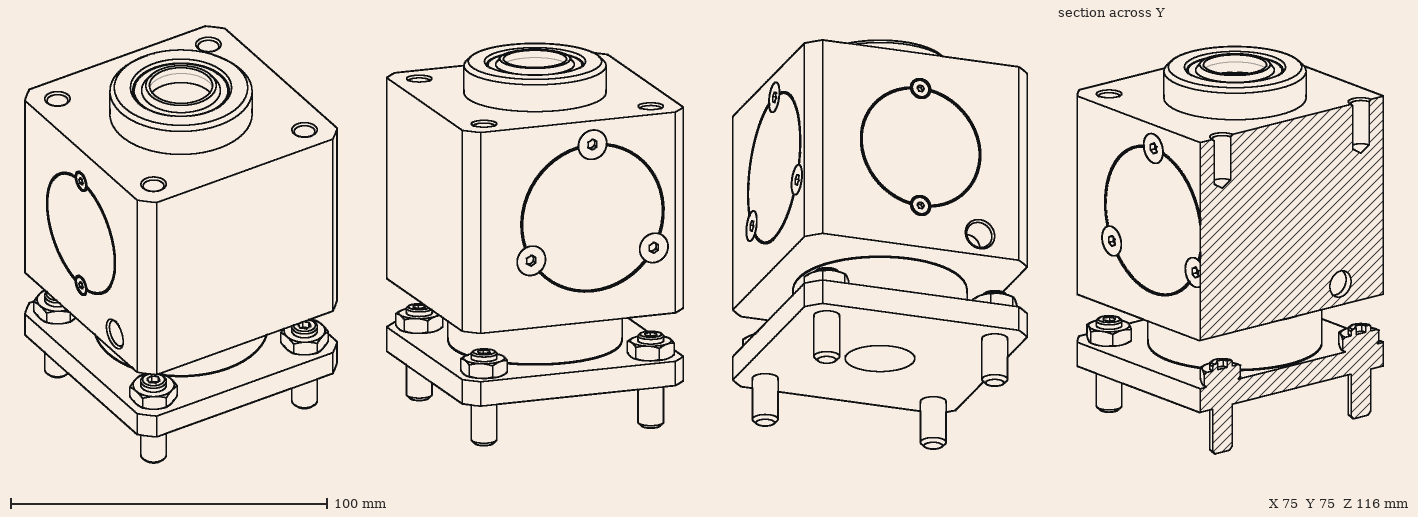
import cadquery as cq
import math

side = 75.0
half_side = side / 2
corner_turn_diameter = 100.0
height = 116.0
plate_bottom = 15.1
plate_thickness = 8.0
plate_top = plate_bottom + plate_thickness
body_bottom = 39.0
body_top = 105.0

collar_diameter = 55.1
collar_relief_diameter = 54.6
collar_relief_height = 0.3

boss_diameter = 45.0
boss_top = 115.2
boss_chamfer = 1.4
seat_diameter = 29.8
seat_mouth_diameter = 32.0
seat_floor = 114.1
seat_gap = 0.3
seat_gap_depth = 0.7

nose_base_diameter = 24.9
nose_top_diameter = 22.3
mouth_diameter = 20.0
throat_diameter = 20.9
throat_start = 2.4
throat_end = 6.0
bore_diameter = 22.0

stud_offset = 28.3
stud_diameter = 8.1
stud_top = plate_top + 7.0
stud_bottom_chamfer = 1.2
stud_top_chamfer = 0.6
stud_socket_flats = 3.6
stud_socket_depth = 4.1
stud_socket_turn = 45
nut_flats = 13.0
nut_corners = nut_flats / math.cos(math.pi / 6)
nut_height = 4.9
nut_chamfer_drop = 0.6
top_hole_diameter = 6.6
top_hole_mouth_diameter = 8.0
top_hole_depth = 15.1

cover_height = 73.1
drill_tip_angle = math.radians(59)

front_cover_diameter = 39.5
front_cover_gap = 0.5
front_cover_gap_depth = 0.5
front_screw_radius = 20.0
front_head_diameter = 5.7
front_head_gap = 0.5
front_socket_flats = 2.0
front_socket_depth = 1.5

left_cover_y = -5.0
left_cover_diameter = 47.6
left_cover_gap = 0.5
left_cover_gap_depth = 0.3
left_screw_radius = 24.0
left_screw_angles = (90, 210, 330)
left_head_diameter = 9.6
left_head_recess = 0.1
left_socket_flats = 3.0
left_socket_depth = 2.0

port_x = 20.0
port_drop = 27.0
port_diameter = 8.5
port_mouth_diameter = 9.9
port_depth = 11.6


def turned_block(bottom, top):
    """Square block whose vertical edges are cut by the common turning diameter."""
    block = cq.Workplane("XY").workplane(offset=bottom).rect(side, side).extrude(top - bottom)
    turning = disc(corner_turn_diameter, top - bottom).translate((0, 0, top))
    return block.intersect(turning)


def revolved(points):
    """Solid of revolution about Z from (radius, height) points."""
    return cq.Workplane("XZ").polyline(points).close().revolve(360, (0, 0, 0), (0, 1, 0))


def drilled_hole(diameter, mouth_diameter, depth):
    """Countersunk blind hole with a drill tip, going down from the origin."""
    radius = diameter / 2
    mouth = mouth_diameter / 2
    tip = depth + radius / math.tan(drill_tip_angle)
    return revolved([(0, 0), (mouth, 0), (radius, radius - mouth), (radius, -depth), (0, -tip)])


def hex_socket(flats, depth):
    """Hexagonal key socket with a conical floor, going down from the origin; corners along X."""
    corners = flats / math.cos(math.pi / 6)
    socket = cq.Workplane("XY").polygon(6, corners).extrude(-depth)
    radius = flats / 2
    tip = depth + radius / math.tan(drill_tip_angle)
    return socket.union(revolved([(0, 0), (radius, 0), (radius, -depth), (0, -tip)]))


def ring_groove(inner_diameter, width, depth):
    """Annular groove going down from the origin."""
    return cq.Workplane("XY").circle(inner_diameter / 2 + width).circle(inner_diameter / 2).extrude(-depth)


def disc(diameter, depth):
    """Plain round disc going down from the origin."""
    return cq.Workplane("XY").circle(diameter / 2).extrude(-depth)


def on_front(tool, x, z):
    """Place a tool on the front face so that its depth runs toward +Y."""
    return tool.rotate((0, 0, 0), (1, 0, 0), 90).translate((x, -half_side, z))


def on_left(tool, y, z):
    """Place a tool on the left face so that its depth runs toward +X."""
    return tool.rotate((0, 0, 0), (0, 1, 0), -90).translate((-half_side, y, z))


def collar():
    """Round neck between the plate and the body."""
    radius = collar_diameter / 2
    relief_radius = collar_relief_diameter / 2
    return revolved([
        (0, plate_top),
        (relief_radius, plate_top),
        (relief_radius, plate_top + collar_relief_height),
        (radius, plate_top + collar_relief_height),
        (radius, body_bottom - collar_relief_height),
        (relief_radius, body_bottom - collar_relief_height),
        (relief_radius, body_bottom),
        (0, body_bottom),
    ])


def boss_and_nose():
    """Boss with its seat around the hollow shaft, whose tapered nose is the highest point."""
    radius = boss_diameter / 2
    gap_radius = seat_diameter / 2 + seat_gap
    return revolved([
        (0, body_top),
        (radius, body_top),
        (radius, boss_top - boss_chamfer),
        (radius - boss_chamfer, boss_top),
        (seat_mouth_diameter / 2, boss_top),
        (gap_radius, seat_floor),
        (gap_radius, seat_floor - seat_gap_depth),
        (seat_diameter / 2, seat_floor - seat_gap_depth),
        (seat_diameter / 2, seat_floor),
        (nose_base_diameter / 2, seat_floor),
        (nose_top_diameter / 2, height),
        (0, height),
    ])


def shaft_bore():
    """Through bore that narrows to a throat and then a tapered mouth at the top."""
    return revolved([
        (0, height),
        (mouth_diameter / 2, height),
        (throat_diameter / 2, height - throat_start),
        (throat_diameter / 2, height - throat_end),
        (bore_diameter / 2, height - throat_end),
        (bore_diameter / 2, plate_bottom),
        (0, plate_bottom),
    ])


def stud():
    """Threaded stud with chamfered ends and a key socket in its upper end."""
    radius = stud_diameter / 2
    shank = revolved([
        (0, 0),
        (radius - stud_bottom_chamfer, 0),
        (radius, stud_bottom_chamfer),
        (radius, stud_top - stud_top_chamfer),
        (radius - stud_top_chamfer, stud_top),
        (0, stud_top),
    ])
    socket = hex_socket(stud_socket_flats, stud_socket_depth)
    socket = socket.rotate((0, 0, 0), (0, 0, 1), stud_socket_turn)
    return shank.cut(socket.translate((0, 0, stud_top)))


def nut():
    """Hexagon nut with its upper and lower corners turned off; corners along X."""
    prism = cq.Workplane("XY").polygon(6, nut_corners).extrude(nut_height)
    turning = revolved([
        (0, 0),
        (nut_flats / 2, 0),
        (nut_corners / 2, nut_chamfer_drop),
        (nut_corners / 2, nut_height - nut_chamfer_drop),
        (nut_flats / 2, nut_height),
        (0, nut_height),
    ])
    return prism.intersect(turning).translate((0, 0, plate_top))


def front_cover_cuts():
    """Grooves around the flush front cover and its two screws, with the key sockets."""
    cuts = on_front(ring_groove(front_cover_diameter, front_cover_gap, front_cover_gap_depth), 0, cover_height)
    screw_heights = [cover_height - front_screw_radius, cover_height + front_screw_radius]
    for z in screw_heights:
        cuts = cuts.cut(on_front(disc(front_head_diameter, front_cover_gap_depth), 0, z))
        cuts = cuts.union(on_front(ring_groove(front_head_diameter, front_head_gap, front_cover_gap_depth), 0, z))
        cuts = cuts.union(on_front(hex_socket(front_socket_flats, front_socket_depth), 0, z))
    return cuts


def left_cover_cuts():
    """Groove around the flush left cover, and its three sunk screw heads with key sockets."""
    cuts = on_left(ring_groove(left_cover_diameter, left_cover_gap, left_cover_gap_depth), left_cover_y, cover_height)
    for angle in left_screw_angles:
        y = left_cover_y + left_screw_radius * math.cos(math.radians(angle))
        z = cover_height + left_screw_radius * math.sin(math.radians(angle))
        cuts = cuts.cut(on_left(disc(left_head_diameter, left_cover_gap_depth), y, z))
        cuts = cuts.union(on_left(disc(left_head_diameter, left_head_recess), y, z))
        cuts = cuts.union(on_left(hex_socket(left_socket_flats, left_socket_depth), y, z))
    return cuts


stud_places = [(x, y) for x in (-stud_offset, stud_offset) for y in (-stud_offset, stud_offset)]

result = turned_block(plate_bottom, plate_top).union(collar())
result = result.union(turned_block(body_bottom, body_top)).union(boss_and_nose())
result = result.cut(shaft_bore())

nut_and_stud = nut().union(stud())
top_hole = drilled_hole(top_hole_diameter, top_hole_mouth_diameter, top_hole_depth)
for x, y in stud_places:
    result = result.union(nut_and_stud.translate((x, y, 0)))
    result = result.cut(top_hole.translate((x, y, body_top)))

result = result.cut(front_cover_cuts()).cut(left_cover_cuts())
port = drilled_hole(port_diameter, port_mouth_diameter, port_depth)
result = result.cut(on_front(port, port_x, cover_height - port_drop))